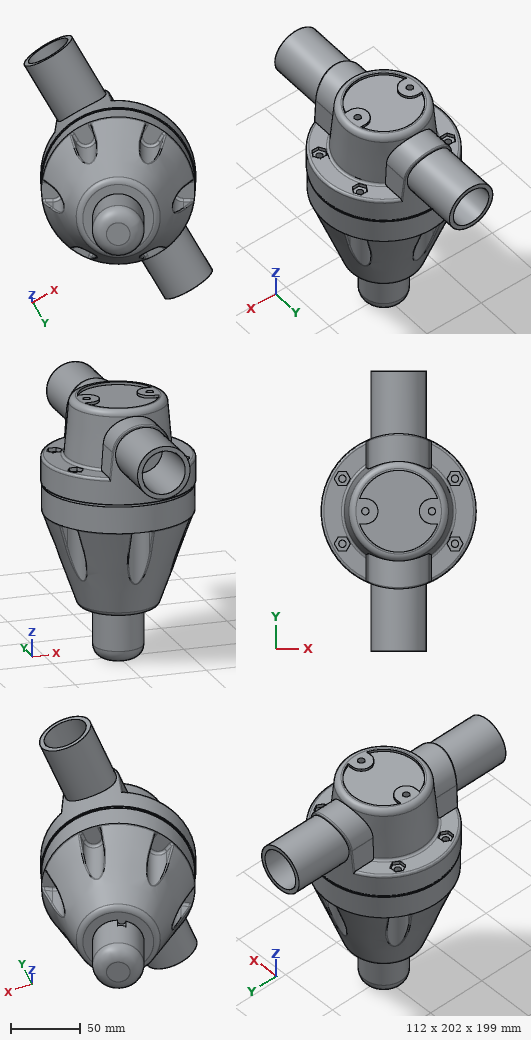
import cadquery as cq
import math

TOP_Z = 66.7
FLANGE_TOP_Z = 21.8
HEAD_BASE_Z = 1.8
BAND_BASE_Z = -20.2
BOWL_BASE_Z = -92.1
SPIGOT_BASE_Z = -132.3

FLANGE_RADIUS = 56.0
FLANGE_ROUND = 2.0
DRAFT_ANGLE = math.radians(5)
DOME_BASE_RADIUS = 39.4
DOME_TOP_ROUND = 5.0
DOME_BASE_ROUND = 2.0

RECESS_RADIUS = 29.5
RECESS_DEPTH = 2.0
TAB_RADIUS = 9.0
TAB_OFFSET = 24.0
SCREW_HOLE_RADIUS = 2.6
TAB_HOLE_DEPTH = 10.0

NUT_CIRCLE_RADIUS = 46.9
NUT_ANGLES = (30, 150, 210, 330)
NUT_SIDES = 6
NUT_ACROSS_FLATS = 10.0
NUT_POCKET_DEPTH = 3.0
NUT_HOLE_DEPTH = 10.0

PIPE_LENGTH = 202.0
PIPE_AXIS_Z = 39.8
PIPE_RADIUS = 20.0
BORE_RADIUS = 16.4
BORE_DEPTH = 50.5
SADDLE_RADIUS = 22.0
SADDLE_ROUND = 1.0

NECK_RADIUS = 55.1
BAND_RADIUS = 55.3
CONE_TOP_RADIUS = 55.1
CONE_BASE_RADIUS = 29.0
CONE_BASE_ROUND = 5.0
SPIGOT_RADIUS = 18.5
SPIGOT_ROUND = 10.0
FLUTE_COUNT = 6
FLUTE_FIRST_ANGLE = 30
FLUTE_RADIUS = 7.9
FLUTE_CENTRE_RADIUS = 46.9
FLUTE_EDGE_ROUND = 1.0
FLUTE_TOP_ROUND = 2.0

GROOVE_ANGLE = 120
GROOVE_RADIUS = 3.2
GROOVE_LENGTH = 6.9


def disc(radius, base_z, top_z):
    """Upright cylinder on the Z axis."""
    return cq.Workplane("XY").workplane(offset=base_z).circle(radius).extrude(top_z - base_z)


def cone(base_radius, base_z, top_radius, top_z):
    """Truncated cone on the Z axis."""
    profile = [(0, base_z), (base_radius, base_z), (top_radius, top_z), (0, top_z)]
    return cq.Workplane("XZ").polyline(profile).close().revolve(360, (0, 0, 0), (0, 1, 0))


def polar(radius, angle):
    """XY point at the given radius and angle in degrees."""
    return (radius * math.cos(math.radians(angle)), radius * math.sin(math.radians(angle)))


def make_head():
    """Flange with the tapered dome standing on it."""
    dome_top_radius = DOME_BASE_RADIUS - (TOP_Z - FLANGE_TOP_Z) * math.tan(DRAFT_ANGLE)
    flange = disc(FLANGE_RADIUS, HEAD_BASE_Z, FLANGE_TOP_Z).faces(">Z").edges().fillet(FLANGE_ROUND)
    dome = cone(DOME_BASE_RADIUS, FLANGE_TOP_Z, dome_top_radius, TOP_Z)
    dome = dome.faces(">Z").edges().fillet(DOME_TOP_ROUND)
    head = flange.union(dome)
    flange_top = head.faces(cq.selectors.NearestToPointSelector((NUT_CIRCLE_RADIUS, 0, FLANGE_TOP_Z)))
    dome_foot = flange_top.edges(cq.selectors.RadiusNthSelector(0))
    return dome_foot.fillet(DOME_BASE_ROUND)


def make_saddle():
    """Drafted arch running along Y, with its rounded ends flush with the flange rim."""
    base_z = FLANGE_TOP_Z - FLANGE_ROUND
    side_x = SADDLE_RADIUS * math.cos(DRAFT_ANGLE)
    side_z = PIPE_AXIS_Z + SADDLE_RADIUS * math.sin(DRAFT_ANGLE)
    base_x = side_x + (side_z - base_z) * math.tan(DRAFT_ANGLE)
    arch = (
        cq.Workplane("XZ")
        .moveTo(-base_x, base_z)
        .lineTo(-side_x, side_z)
        .threePointArc((0, PIPE_AXIS_Z + SADDLE_RADIUS), (side_x, side_z))
        .lineTo(base_x, base_z)
        .close()
        .extrude(PIPE_LENGTH / 2, both=True)
    )
    saddle = arch.intersect(disc(FLANGE_RADIUS, base_z, TOP_Z))
    end_edges = saddle.edges("not(|Y or <Z)")
    return end_edges.fillet(SADDLE_ROUND)


def make_pipes():
    return cq.Workplane("XZ").center(0, PIPE_AXIS_Z).circle(PIPE_RADIUS).extrude(PIPE_LENGTH / 2, both=True)


def make_bores():
    """Blind bore at each pipe end."""
    bores = cq.Workplane()
    for end in (-1, 1):
        mouth = cq.Workplane("XZ", origin=(0, end * PIPE_LENGTH / 2, PIPE_AXIS_Z))
        bores.add(mouth.circle(BORE_RADIUS).extrude(end * BORE_DEPTH))
    return bores.combine()


def make_top_recess():
    """Shallow round recess around two tabs, and the blind screw hole in each tab."""
    recess = disc(RECESS_RADIUS, TOP_Z - RECESS_DEPTH, TOP_Z)
    for side in (-1, 1):
        tab = (
            cq.Workplane("XY", origin=(side * TAB_OFFSET, 0, TOP_Z - RECESS_DEPTH))
            .circle(TAB_RADIUS)
            .extrude(RECESS_DEPTH)
            .union(
                cq.Workplane("XY")
                .box(TAB_RADIUS, 2 * TAB_RADIUS, RECESS_DEPTH, centered=(True, True, False))
                .translate((side * (TAB_OFFSET + TAB_RADIUS / 2), 0, TOP_Z - RECESS_DEPTH))
            )
        )
        recess = recess.cut(tab)
    holes = cq.Workplane("XY", origin=(0, 0, TOP_Z)).pushPoints([(-TAB_OFFSET, 0), (TAB_OFFSET, 0)])
    return recess.union(holes.circle(SCREW_HOLE_RADIUS).extrude(-TAB_HOLE_DEPTH))


def make_nut_pockets():
    """Hexagonal pocket with a blind screw hole at each flange screw position."""
    centres = [polar(NUT_CIRCLE_RADIUS, angle) for angle in NUT_ANGLES]
    corner_diameter = NUT_ACROSS_FLATS / math.cos(math.pi / NUT_SIDES)
    flange_top = cq.Workplane("XY", origin=(0, 0, FLANGE_TOP_Z)).pushPoints(centres)
    pockets = flange_top.polygon(NUT_SIDES, corner_diameter).extrude(-NUT_POCKET_DEPTH)
    return pockets.union(flange_top.circle(SCREW_HOLE_RADIUS).extrude(-NUT_HOLE_DEPTH))


def make_flute_cutter(angle):
    """Upright U-shaped cutter, open outward, from the cone base to its top."""
    height = BAND_BASE_Z - BOWL_BASE_Z
    floor = cq.Workplane("XY").center(FLUTE_CENTRE_RADIUS, 0).circle(FLUTE_RADIUS).extrude(height)
    opening = (
        cq.Workplane("XY")
        .box(BAND_RADIUS - FLUTE_CENTRE_RADIUS, 2 * FLUTE_RADIUS, height, centered=(False, True, False))
        .translate((FLUTE_CENTRE_RADIUS, 0, 0))
    )
    cutter = floor.union(opening).translate((0, 0, BOWL_BASE_Z))
    return cutter.rotate((0, 0, 0), (0, 0, 1), angle)


def make_bowl():
    """Joint neck, band, fluted cone and bottom spigot."""
    bowl_cone = cone(CONE_BASE_RADIUS, BOWL_BASE_Z, CONE_TOP_RADIUS, BAND_BASE_Z)
    bowl_cone = bowl_cone.faces("<Z").edges().fillet(CONE_BASE_ROUND)
    for index in range(FLUTE_COUNT):
        bowl_cone = bowl_cone.cut(make_flute_cutter(FLUTE_FIRST_ANGLE + index * 360 / FLUTE_COUNT))
    flute_rims = bowl_cone.edges("%HYPERBOLA or %BSPLINE")
    bowl_cone = flute_rims.fillet(FLUTE_EDGE_ROUND)

    fluted_bowl = bowl_cone.union(disc(BAND_RADIUS, BAND_BASE_Z, 0))
    flute_ceilings = fluted_bowl.edges("%LINE and #Z")
    fluted_bowl = flute_ceilings.fillet(FLUTE_TOP_ROUND)

    neck = disc(NECK_RADIUS, 0, HEAD_BASE_Z)
    spigot = disc(SPIGOT_RADIUS, SPIGOT_BASE_Z, BOWL_BASE_Z).faces("<Z").edges().fillet(SPIGOT_ROUND)
    return fluted_bowl.union(neck).union(spigot)


def make_spigot_groove():
    """Round upright groove in the side of the spigot, just below the bowl."""
    groove = cq.Workplane("XY", origin=(0, 0, BOWL_BASE_Z)).center(*polar(SPIGOT_RADIUS, GROOVE_ANGLE))
    return groove.circle(GROOVE_RADIUS).extrude(-GROOVE_LENGTH)


result = (
    make_head()
    .union(make_saddle())
    .union(make_pipes())
    .union(make_bowl())
    .cut(make_bores())
    .cut(make_top_recess())
    .cut(make_nut_pockets())
    .cut(make_spigot_groove())
)